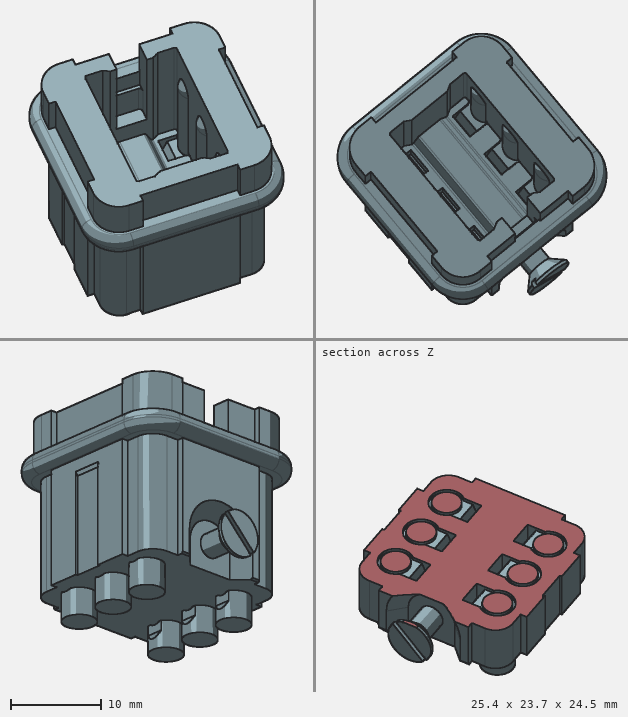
import cadquery as cq


body_height = 21.2
body_half = 10.5
corner_step = 0.79
inner_half = body_half - corner_step
corner_centre = 7.45
panel_half_width = 5.78
split_height = 15.2
panel_chamfer_width = 0.15
panel_chamfer_height = 0.23

ring_width = 23.7
ring_half = ring_width / 2
ring_height = 2.48
ring_round = 1.1

groove_width = 3.6
groove_depth = 0.25
groove_height = 12.47
groove_slope_height = 0.45

cavity_half_x = 7.83
cavity_half_y = 5.45
cavity_floor = 6.08
cavity_corner_radius = 0.25
waist_half_x = 7.4
waist_half_y = 2.54
waist_end_y = 3.3

ridge_base_half = 2.33
ridge_top_half = 1.6
ridge_height = 1.52
ridge_blend_radius = 0.25

slot_width = 3.6
slot_lip_x = -9.48
slot_ledge = split_height - ring_height / 2
slot_pocket_x = -9.05
slot_pocket_floor = 10.15
slot_pocket_radius = 0.38

contact_pitch = 5.5
contact_y = 6.55
pin_diameter = 3.4
pin_dome_base = 16.17
pin_foot = cavity_floor - 2.54
tail_diameter = 4.0
tail_length = 3.3
tail_flat_y = 4.85
tail_flat_end = -1.2
tail_slope_end = -1.98
tail_hole_diameter = 2.4
tail_hole_bottom = -0.2

window_width = 3.0
window_inner_y = 3.0
window_ramp_start_y = 3.3
window_ramp_end_y = 4.05
window_depth = 2.54
window_toe_rise = 0.2
window_shelf_depth = 0.63

screw_z = 3.2
screw_tip_x = ring_half - 25.35
screw_rim = 0.4
screw_head_radius = 2.76
screw_shank_radius = 2.9 / 2
screw_depth_x = -7.6
driver_slot_width = 0.6
driver_slot_depth = 0.74
driver_slot_angle = 45.0
arch_outer_radius = 4.77
arch_inner_radius = 3.0
arch_depth = arch_outer_radius - arch_inner_radius


def block(x_range, y_range, z_range):
    """Axis-aligned box between the given limits."""
    size = [high - low for low, high in (x_range, y_range, z_range)]
    return cq.Workplane("XY").box(*size, centered=False).translate((x_range[0], y_range[0], z_range[0]))


def rounded_square(half_side, bottom, top):
    """Upright square prism whose corners turn about the shared corner centres."""
    prism = cq.Workplane("XY").workplane(offset=bottom).rect(2 * half_side, 2 * half_side).extrude(top - bottom)
    return prism.edges("|Z").fillet(half_side - corner_centre)


def side_panels():
    """Two crossing slabs that form the raised lower panels; the X ends are bevelled underneath."""
    y_slab = block((-panel_half_width, panel_half_width), (-body_half, body_half), (0, split_height))
    x_profile = [
        (-body_half, panel_chamfer_height),
        (-body_half + panel_chamfer_width, 0),
        (body_half - panel_chamfer_width, 0),
        (body_half, panel_chamfer_height),
        (body_half, split_height),
        (-body_half, split_height),
    ]
    x_slab = cq.Workplane("XZ").polyline(x_profile).close().extrude(panel_half_width, both=True)
    return x_slab.union(y_slab)


def housing():
    """Solid outer body: raised panels below the split, raised corner blocks above it."""
    lower = rounded_square(inner_half, 0, split_height).union(side_panels())
    upper = rounded_square(body_half, split_height, body_height)
    panel = (-panel_half_width, panel_half_width)
    heights = (split_height, body_height)
    for near, far in ((-body_half, -inner_half), (inner_half, body_half)):
        upper = upper.cut(block((near, far), panel, heights))
        upper = upper.cut(block(panel, (near, far), heights))
    return lower.union(upper)


def sealing_ring():
    bottom = split_height - ring_height / 2
    ring = rounded_square(ring_half, bottom, bottom + ring_height)
    return ring.faces("<Z or >Z").edges().fillet(ring_round)


def face_groove():
    """Shallow vertical groove in the -Y face, with a sloping upper end."""
    profile = [
        (-body_half, 0),
        (-body_half + groove_depth, 0),
        (-body_half + groove_depth, groove_height - groove_slope_height),
        (-body_half, groove_height),
    ]
    return cq.Workplane("YZ").polyline(profile).close().extrude(groove_width / 2, both=True)


def cavity():
    """Rectangular well, narrowed at mid-length by a bevelled waist on both X walls."""
    well = (
        cq.Workplane("XY").workplane(offset=cavity_floor)
        .rect(2 * cavity_half_x, 2 * cavity_half_y)
        .extrude(body_height - cavity_floor)
        .edges("|Z").fillet(cavity_corner_radius)
    )
    waist_profile = [
        (-cavity_half_x, -waist_end_y),
        (-waist_half_x, -waist_half_y),
        (-waist_half_x, waist_half_y),
        (-cavity_half_x, waist_end_y),
    ]
    waist = cq.Workplane("XY").polyline(waist_profile).close().extrude(body_height)
    return well.cut(waist).cut(waist.mirror("YZ"))


def ridge():
    """Flat-topped ridge with sloping flanks, blended at crest and foot; its base lies in the floor."""
    top = cavity_floor + ridge_height
    sunk = cavity_floor - ridge_blend_radius
    profile = [
        (-waist_half_y, sunk),
        (-waist_half_y, cavity_floor),
        (-ridge_base_half, cavity_floor),
        (-ridge_top_half, top),
        (ridge_top_half, top),
        (ridge_base_half, cavity_floor),
        (waist_half_y, cavity_floor),
        (waist_half_y, sunk),
    ]
    bar = cq.Workplane("YZ").polyline(profile).close().extrude(waist_half_x, both=True)
    flank_edges = cq.selectors.BoxSelector(
        (-waist_half_x, -(ridge_base_half + waist_half_y) / 2, sunk),
        (waist_half_x, (ridge_base_half + waist_half_y) / 2, top + ridge_blend_radius),
    )
    return bar.edges("|X").edges(flank_edges).fillet(ridge_blend_radius)


def entry_slot():
    """Slot in the -X wall: open above the ring, a ledge inside it, then a deeper pocket."""
    half = slot_width / 2
    width = (-half, half)
    ring_top = split_height + ring_height / 2
    opening = block((-body_half, -waist_half_x), width, (ring_top, body_height))
    ledge = block((slot_lip_x, -waist_half_x), width, (slot_ledge, ring_top))
    pocket = block((slot_pocket_x, -waist_half_x), width, (slot_pocket_floor, slot_ledge))
    pocket = pocket.edges("|Z and <X").fillet(slot_pocket_radius)
    return opening.union(ledge).union(pocket)


def floor_window():
    """Window beside a +Y contact: deep by the ridge, ramping up to a shelf with a round pin seat."""
    deep = cavity_floor - window_depth
    shelf = cavity_floor - window_shelf_depth
    profile = [
        (window_inner_y, cavity_floor),
        (window_inner_y, deep),
        (window_ramp_start_y, deep + window_toe_rise),
        (window_ramp_end_y, shelf),
        (cavity_half_y, shelf),
        (cavity_half_y, cavity_floor),
    ]
    window = cq.Workplane("YZ").polyline(profile).close().extrude(window_width / 2, both=True)
    seat = (
        cq.Workplane("XY").workplane(offset=shelf).center(0, contact_y)
        .circle(tail_diameter / 2).extrude(window_shelf_depth)
    )
    return window.union(seat)


def contact_pin():
    """Round-nosed pin at a +Y contact position, half buried in the cavity wall."""
    radius = pin_diameter / 2
    shaft = cq.Workplane("XY").workplane(offset=pin_foot).circle(radius).extrude(pin_dome_base - pin_foot)
    dome = cq.Workplane("XY").sphere(radius).translate((0, 0, pin_dome_base))
    return shaft.union(dome).translate((0, contact_y, 0))


def contact_tail():
    """Tail below a +Y contact, flattened on its inner side and cross-drilled at the root."""
    radius = tail_diameter / 2
    inner_y = contact_y - radius
    tail = cq.Workplane("XY").center(0, contact_y).circle(radius).extrude(-tail_length)
    flat_profile = [
        (inner_y, 0),
        (tail_flat_y, 0),
        (tail_flat_y, tail_flat_end),
        (inner_y, tail_slope_end),
    ]
    flat = cq.Workplane("YZ").polyline(flat_profile).close().extrude(radius, both=True)
    hole_radius = tail_hole_diameter / 2
    hole = (
        cq.Workplane("XZ").center(0, tail_hole_bottom + hole_radius)
        .circle(hole_radius).extrude(-(contact_y + radius))
    )
    return tail.cut(flat).cut(hole)


def at_contacts(shape):
    """Copies of a +Y contact feature at all six contact positions."""
    copies = cq.Workplane("XY")
    for column in (-1, 0, 1):
        moved = shape.translate((column * contact_pitch, 0, 0))
        copies = copies.add(moved).add(moved.mirror("XZ"))
    return copies.combine()


def screw_arch():
    """45-degree conical recess around the screw, running straight out through the underside."""
    cone = cq.Workplane("YZ", origin=(-body_half, 0, screw_z)).circle(arch_outer_radius)
    cone = cone.workplane(offset=arch_depth).circle(arch_inner_radius).loft()
    floor_x = -body_half + arch_depth
    flare_profile = [
        (-body_half, -arch_outer_radius),
        (floor_x, -arch_inner_radius),
        (floor_x, arch_inner_radius),
        (-body_half, arch_outer_radius),
    ]
    flare = cq.Workplane("XY").polyline(flare_profile).close().extrude(screw_z)
    return cone.union(flare)


def screw():
    """Countersunk slotted screw along X."""
    rim_x = screw_tip_x + screw_rim
    neck_x = rim_x + screw_head_radius - screw_shank_radius
    profile = [
        (screw_tip_x, 0),
        (screw_tip_x, screw_head_radius),
        (rim_x, screw_head_radius),
        (neck_x, screw_shank_radius),
        (screw_depth_x, screw_shank_radius),
        (screw_depth_x, 0),
    ]
    turned = cq.Workplane("XY").polyline(profile).close().revolve(360, (0, 0, 0), (1, 0, 0))
    driver_slot = (
        cq.Workplane("YZ", origin=(screw_tip_x, 0, 0))
        .rect(2 * screw_head_radius, driver_slot_width).extrude(driver_slot_depth)
        .rotate((0, 0, 0), (1, 0, 0), driver_slot_angle)
    )
    return turned.cut(driver_slot).translate((0, 0, screw_z))


groove = face_groove()
result = housing().union(sealing_ring())
result = result.cut(cavity()).cut(entry_slot())
result = result.cut(groove).cut(groove.mirror("XZ"))
result = result.cut(at_contacts(floor_window())).cut(screw_arch())
result = result.union(ridge()).union(screw())
result = result.union(at_contacts(contact_pin())).union(at_contacts(contact_tail()))